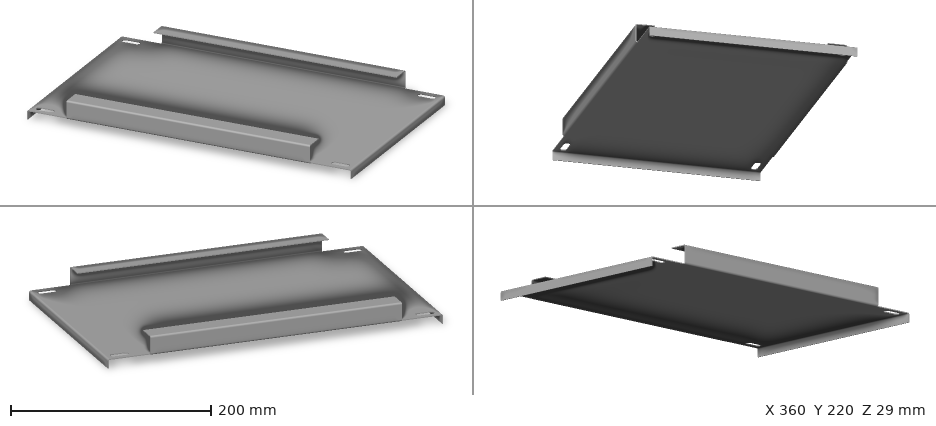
import cadquery as cq

length_x = 360.0
width_y = 220.0
sheet = 1.0
inner_radius = 1.0
outer_radius = inner_radius + sheet

end_flange_depth = 10.0
channel_height = 20.0
channel_length = 270.0
lip_width = 20.0

slot_length = 20.0
slot_width = 7.0
slot_spacing_x = 328.0
slot_spacing_y = 198.0

plate_top = end_flange_depth
plate_bottom = plate_top - sheet
lip_top = plate_bottom + channel_height
half_length = length_x / 2
half_width = width_y / 2
bend_start_y = half_width - outer_radius


def folded_plate():
    """Flat plate with both ends bent down, without the side channels."""
    def skin(half_span, top, radius):
        return (
            cq.Workplane("XZ")
            .rect(2 * half_span, 2 * top)
            .extrude(bend_start_y, both=True)
            .edges("|Y and >Z")
            .fillet(radius)
        )

    outer = skin(half_length, plate_top, outer_radius)
    inner = skin(half_length - sheet, plate_bottom, inner_radius)
    below_ground = cq.Workplane("XY").box(
        length_x, width_y, plate_top, centered=(True, True, False)
    ).translate((0, 0, -plate_top))
    return outer.cut(inner).cut(below_ground)


def channel():
    """C-shaped side fold on +Y: bend up, wall, bend inward, lip."""
    wall_inside = half_width - sheet
    lip_edge = half_width - lip_width
    lip_bottom = lip_top - sheet
    lower_center = plate_bottom + outer_radius
    upper_center = lip_top - outer_radius
    profile = (
        cq.Workplane("YZ")
        .moveTo(bend_start_y, plate_bottom)
        .radiusArc((half_width, lower_center), -outer_radius)
        .lineTo(half_width, upper_center)
        .radiusArc((bend_start_y, lip_top), -outer_radius)
        .lineTo(lip_edge, lip_top)
        .lineTo(lip_edge, lip_bottom)
        .lineTo(bend_start_y, lip_bottom)
        .radiusArc((wall_inside, upper_center), inner_radius)
        .lineTo(wall_inside, lower_center)
        .radiusArc((bend_start_y, plate_top), inner_radius)
        .close()
    )
    return profile.extrude(channel_length / 2, both=True)


def mounting_slots():
    """Cutters for the four corner slots, long along X."""
    return (
        cq.Workplane("XY")
        .workplane(offset=plate_bottom)
        .rarray(slot_spacing_x, slot_spacing_y, 2, 2)
        .slot2D(slot_length, slot_width)
        .extrude(sheet)
    )


side_channel = channel()
result = (
    folded_plate()
    .union(side_channel)
    .union(side_channel.mirror("XZ"))
    .cut(mounting_slots())
)